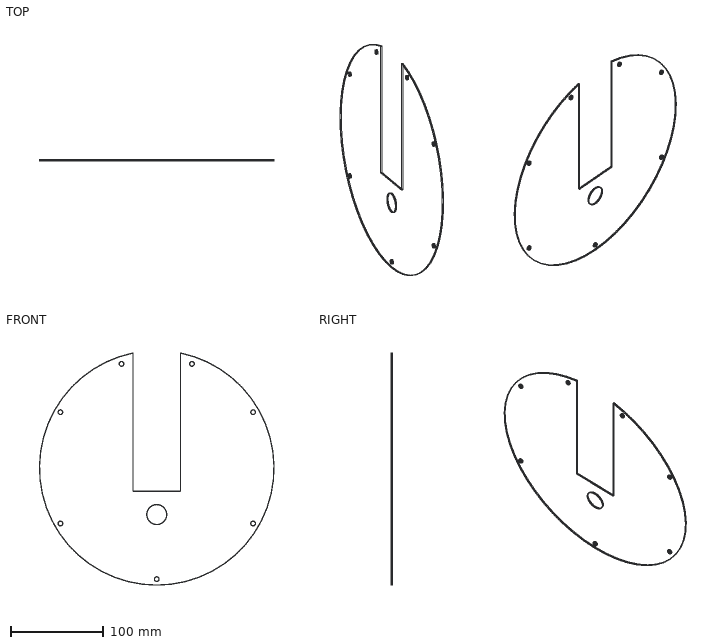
import cadquery as cq
import math

disc_diameter = 254.0
thickness = 1.6

slot_width = 51.3
slot_floor_z = -25.1

center_hole_diameter = 21.3
center_hole_z = -50.5
screw_hole_diameter = 4.8
screw_circle_radius = 120.5
screw_angles = [-150, -90, -30, 30, 150]
slot_screw_x = 38.0
slot_screw_z = 112.5


def screw_positions():
    """Screws on the bolt circle, plus one on each side of the slot mouth."""
    on_circle = [
        (
            screw_circle_radius * math.cos(math.radians(angle)),
            screw_circle_radius * math.sin(math.radians(angle)),
        )
        for angle in screw_angles
    ]
    beside_slot = [(side * slot_screw_x, slot_screw_z) for side in (-1, 1)]
    return on_circle + beside_slot


def plate_cutter(sketch):
    """Extrude an XZ sketch through the plate, centred on Y = 0."""
    return sketch.extrude(thickness, both=True)


disc = cq.Workplane("XZ").circle(disc_diameter / 2).extrude(thickness / 2, both=True)

slot_top_z = disc_diameter / 2
slot_height = slot_top_z - slot_floor_z
slot = plate_cutter(
    cq.Workplane("XZ")
    .center(0, slot_floor_z + slot_height / 2)
    .rect(slot_width, slot_height)
)

center_hole = plate_cutter(
    cq.Workplane("XZ").center(0, center_hole_z).circle(center_hole_diameter / 2)
)

screw_holes = plate_cutter(
    cq.Workplane("XZ").pushPoints(screw_positions()).circle(screw_hole_diameter / 2)
)

result = disc.cut(slot).cut(center_hole).cut(screw_holes)